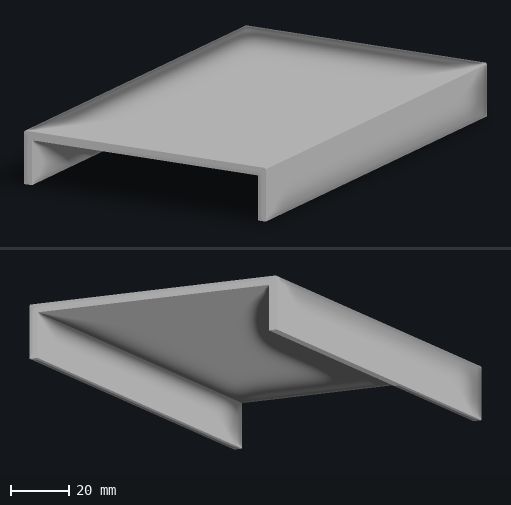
import cadquery as cq

width = 95.2
length = 152.4
height = 19.0

wall = 3.0
edge_radius = 0.5

bar = cq.Workplane("XY").box(width, length, height, centered=(True, True, False))
rounded_bar = bar.edges("|Y and >Z").fillet(edge_radius)

cavity = cq.Workplane("XY").box(
    width - 2 * wall, length, height - wall, centered=(True, True, False)
)

result = rounded_bar.cut(cavity)